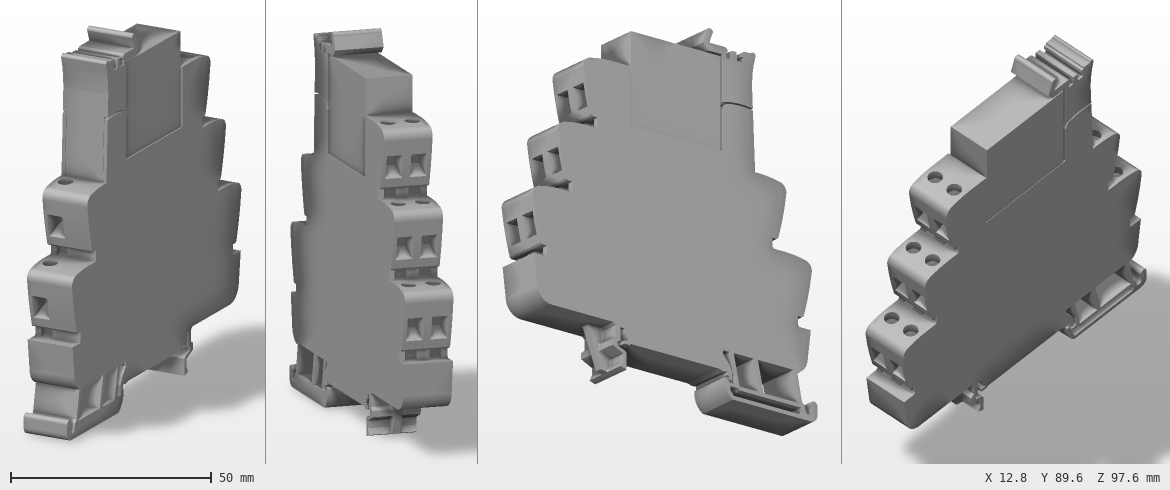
import cadquery as cq
import math


WIDTH = 12.8
X_LEFT = -WIDTH / 2
INSET = 0.4
INSET_WIDTH = WIDTH - INSET
HALF_DEPTH = 43.9

LEVEL_RISE = 19.0
LEVEL_SETBACK = 8.0
NOTCH_BOTTOM = 24.4
NOTCH_HEIGHT = 2.8
NOTCH_WALL = 39.5
NOSE_EDGE_RISE = 0.4
NOTCH_STEP = 0.3
LEVEL_TOP = NOTCH_BOTTOM + LEVEL_RISE

TERMINAL_X = 3.2
SCREW_DIAMETER = 3.9
SCREW_Y = 37.7
SCREW_DEPTH = 2.4
ENTRY_WIDTH = 4.4
ENTRY_BOTTOM = 29.9
ENTRY_HEIGHT = 6.1
ENTRY_RAMP = 2.1
ENTRY_BACK = 36.1
ENTRY_SILL = 42.3
SLOT_WIDTH = 3.2
SLOT_DEPTH = 2.0

BASE_WALL = 43.6
CORNER_RADIUS = 4.8
CORNER_Y = 37.9
CORNER_Z = 16.6
RAIL_FACE = 7.2
FOOT_TOP = 12.5
FOOT_OUTER_Y = 39.3
FOOT_ROOT_Y = -38.4

BAY_FLOOR = 65.7
BAY_BACK = 13.4
BAY_FRONT = -15.9
RELAY_BACK = 13.0
RELAY_FRONT = -15.2
RELAY_TOP = 91.0
RELAY_RECESS = 0.1

CHEEK_WIDTH = 1.0
SLIT_WIDTH = 0.1
SLIT_TOP = 79.7
SLIT_BACK = -24.7
JOINT_GAP = 0.5

RIB_WIDTH = 2.0
RIB_FILLET = 0.5
FOOT_LEAN = 1.9
FOOT_WINDOW_BOTTOM = 4.0
GROOVE_DEPTH = 4.9


def yz_plane(x_start):
    return cq.Workplane("YZ", origin=(x_start, 0, 0))


def plate(points, x_start=X_LEFT, width=WIDTH):
    """Straight-sided (Y, Z) outline extruded along +X."""
    return yz_plane(x_start).polyline(points).close().extrude(width)


def block(y_range, z_range, x_start=X_LEFT, width=WIDTH):
    (y0, y1), (z0, z1) = y_range, z_range
    return plate([(y0, z0), (y1, z0), (y1, z1), (y0, z1)], x_start, width)


def on_side(solid, side):
    return solid if side > 0 else solid.mirror("XZ")


def terminal_level(level):
    """One level on the +Y side: a notch at the bottom and a rounded nose above it."""
    nose = (
        yz_plane(X_LEFT)
        .moveTo(-LEVEL_SETBACK, NOTCH_BOTTOM + NOTCH_HEIGHT)
        .lineTo(40.9, NOTCH_BOTTOM + NOTCH_HEIGHT)
        .lineTo(41.4, NOTCH_BOTTOM + NOTCH_HEIGHT + NOSE_EDGE_RISE)
        .threePointArc((42.8, 33.6), (HALF_DEPTH, 40.1))
        .threePointArc((43.3, 41.9), (42.1, 42.7))
        .threePointArc((38.7, 43.2), (35.4, LEVEL_TOP))
        .lineTo(-LEVEL_SETBACK, LEVEL_TOP)
        .close()
        .extrude(WIDTH)
    )
    column = block((-LEVEL_SETBACK, NOTCH_WALL), (NOTCH_BOTTOM, NOTCH_BOTTOM + NOTCH_HEIGHT))
    step = block((0, NOTCH_WALL + NOTCH_STEP), (NOTCH_BOTTOM, NOTCH_BOTTOM + NOTCH_STEP))
    return nose.union(column).union(step).translate((0, -level * LEVEL_SETBACK, level * LEVEL_RISE))


def terminal_cut(level, x):
    """Screw hole, wire entry and release slot of one terminal on the +Y side."""
    screw = (
        cq.Workplane("XY", origin=(x, SCREW_Y, LEVEL_TOP - SCREW_DEPTH))
        .circle(SCREW_DIAMETER / 2)
        .extrude(2 * SCREW_DEPTH)
    )
    entry = plate(
        [
            (HALF_DEPTH, ENTRY_BOTTOM),
            (ENTRY_SILL, ENTRY_BOTTOM),
            (ENTRY_BACK, ENTRY_BOTTOM + ENTRY_RAMP),
            (ENTRY_BACK, ENTRY_BOTTOM + ENTRY_HEIGHT),
            (HALF_DEPTH, ENTRY_BOTTOM + ENTRY_HEIGHT),
        ],
        x - ENTRY_WIDTH / 2,
        ENTRY_WIDTH,
    )
    slot = block(
        (NOTCH_WALL - SLOT_DEPTH, NOTCH_WALL + NOTCH_STEP),
        (NOTCH_BOTTOM, NOTCH_BOTTOM + NOTCH_HEIGHT),
        x - SLOT_WIDTH / 2,
        SLOT_WIDTH,
    )
    cut = screw.union(entry).union(slot)
    return cut.translate((0, -level * LEVEL_SETBACK, level * LEVEL_RISE))


def corner_point(angle):
    """Point on the lower corner arc of the +Y side; 0 degrees points outwards."""
    return (
        CORNER_Y + CORNER_RADIUS * math.cos(math.radians(angle)),
        CORNER_Z + CORNER_RADIUS * math.sin(math.radians(angle)),
    )


def mirrored(point):
    return (-point[0], point[1])


HOOK_BACK = [
    (18.5, 11.8), (17.9, 11.1), (17.9, 8.1), (18.9, 7.3), (18.8, 5.7), (15.4, 4.1), (15.4, 2.1),
    (16.3, 0.6),
]
HOOK_FRONT = [
    (14.4, 0), (14.4, 4.5), (15.0, 5.1), (17.2, 5.8), (17.3, 6.9), (16.4, 7.2), (16.4, 10.9),
    (15.0, 10.9), (14.8, 9.7), (13.8, 8.2), (13.8, 7.7), (15.1, 7.7), (15.1, 6.8), (13.3, 6.8),
    (13.0, RAIL_FACE),
]
SPRING_FINGER = [
    (-14.6, RAIL_FACE), (-16.1, 6.8), (-17.4, 7.0), (-17.4, 6.1), (-18.0, 6.0), (-18.3, 5.1),
    (-18.8, 5.0), (-18.8, 7.3), (-17.9, 9.3), (-16.5, 10.7), (-16.0, 11.4), (-16.0, FOOT_TOP),
]


def base():
    foot_corner_angle = -math.degrees(math.acos((FOOT_OUTER_Y - CORNER_Y) / CORNER_RADIUS))
    outline = (
        yz_plane(X_LEFT)
        .moveTo(BASE_WALL, NOTCH_BOTTOM)
        .lineTo(*corner_point(0))
        .threePointArc(corner_point(-45), corner_point(-90))
    )
    for point in HOOK_BACK + HOOK_FRONT + SPRING_FINGER:
        outline = outline.lineTo(*point)
    return (
        outline.lineTo(FOOT_ROOT_Y, FOOT_TOP)
        .lineTo(*mirrored(corner_point(foot_corner_angle)))
        .threePointArc(mirrored(corner_point(foot_corner_angle / 2)), mirrored(corner_point(0)))
        .lineTo(-BASE_WALL, NOTCH_BOTTOM)
        .close()
        .extrude(WIDTH)
    )


RIB_HEEL = (22.6, CORNER_Z - CORNER_RADIUS)
RIB_TOE = (18.3, 0.9)


def add_hook_rib(housing):
    """Central rib that stiffens the back of the rail hook, filleted where it joins the hook."""
    outline = [RIB_HEEL] + HOOK_BACK + [RIB_TOE]
    ribbed = housing.union(plate(outline, -RIB_WIDTH / 2, RIB_WIDTH))
    root = [RIB_HEEL] + HOOK_BACK
    root_edges = []
    for x in (-RIB_WIDTH / 2, RIB_WIDTH / 2):
        for (y0, z0), (y1, z1) in zip(root, root[1:]):
            middle = (x, (y0 + y1) / 2, (z0 + z1) / 2)
            root_edges += ribbed.edges(cq.NearestToPointSelector(middle)).vals()
    return ribbed.newObject(root_edges).fillet(RIB_FILLET)


def foot():
    body = (
        yz_plane(X_LEFT)
        .moveTo(-18.1, FOOT_TOP)
        .lineTo(-19.8, 6.7)
        .lineTo(-19.8, 4.8)
        .lineTo(-19.3, 4.3)
        .lineTo(-18.2, 4.3)
        .lineTo(-17.4, 5.2)
        .lineTo(-17.2, 5.7)
        .lineTo(-16.5, 5.5)
        .threePointArc((-17.1, 2.2), (-19.1, 0))
        .lineTo(-43.7, 0)
        .threePointArc((-45.1, 0.6), (-45.7, 2.0))
        .lineTo(-45.7, 4.5)
        .threePointArc((-44.6, 5.6), (-43.5, 4.5))
        .lineTo(-43.9, 3.6)
        .lineTo(-43.9, 2.5)
        .threePointArc((-43.0, 1.7), (-42.2, 1.9))
        .lineTo(-41.6, 3.8)
        .lineTo(-40.8, 4.6)
        .lineTo(-FOOT_OUTER_Y, 12.1)
        .lineTo(FOOT_ROOT_Y, FOOT_TOP)
        .close()
        .extrude(INSET_WIDTH)
    )
    for y_start, y_end in ((-19.3, -25.7), (-26.9, -38.1)):
        window = [
            (y_start, FOOT_TOP),
            (y_end, FOOT_TOP),
            (y_end - FOOT_LEAN, FOOT_WINDOW_BOTTOM),
            (y_start - FOOT_LEAN, FOOT_WINDOW_BOTTOM),
        ]
        body = body.cut(plate(window))
    groove = [
        (-18.3, 3.4), (-20.6, 3.4), (-21.5, 2.9), (-40.5, 2.9),
        (-40.9, 2.0), (-40.4, 1.1), (-19.3, 1.1), (-18.3, 2.2),
    ]
    return body.cut(plate(groove, X_LEFT, GROOVE_DEPTH))


def relay():
    return block(
        (RELAY_FRONT, RELAY_BACK),
        (BAY_FLOOR, RELAY_TOP),
        X_LEFT + RELAY_RECESS,
        INSET_WIDTH - RELAY_RECESS,
    )


CHEEK_TOP = 78.6
CHEEK_FRONT_BOTTOM = -26.1
LEVEL_2_TOP = LEVEL_TOP + LEVEL_RISE
JOINT_ARC = ((BAY_FRONT, CHEEK_TOP), (-20.9, 79.3), (-26.4, 78.9))


def lever():
    return (
        yz_plane(X_LEFT)
        .moveTo(BAY_FRONT, LEVEL_2_TOP)
        .lineTo(BAY_FRONT, 91.5)
        .lineTo(-11.2, 91.5)
        .lineTo(-9.6, 93.3)
        .lineTo(-10.8, 96.6)
        .threePointArc((-11.8, 97.6), (-12.8, 96.6))
        .threePointArc((-12.1, 95.1), (-11.7, 93.7))
        .lineTo(-16.6, 93.7)
        .lineTo(-17.4, 93.3)
        .lineTo(-17.5, 92.7)
        .lineTo(-17.1, 92.2)
        .lineTo(-17.1, 90.9)
        .lineTo(-18.6, 90.9)
        .lineTo(-18.7, 93.2)
        .lineTo(-20.2, 93.2)
        .lineTo(-20.4, 90.9)
        .lineTo(-22.35, 90.9)
        .lineTo(-22.35, 92.1)
        .lineTo(-21.8, 92.3)
        .lineTo(-21.9, 93.3)
        .lineTo(-22.5, 93.4)
        .lineTo(-22.6, 93.9)
        .lineTo(-24.8, 93.9)
        .lineTo(-25.1, 94.3)
        .threePointArc((-25.9, 94.2), (-26.3, 93.6))
        .threePointArc((-25.4, 89.6), (-25.1, 85.5))
        .lineTo(CHEEK_FRONT_BOTTOM, LEVEL_2_TOP)
        .close()
        .extrude(WIDTH)
    )


def lever_cuts():
    """Curved joint above both cheeks, the slits along the cheeks and the notch at the joint's back."""
    (y0, z0), (y1, z1), (y2, z2) = JOINT_ARC
    joint = (
        yz_plane(X_LEFT)
        .moveTo(y0, z0 - JOINT_GAP / 2)
        .threePointArc((y1, z1 - JOINT_GAP / 2), (y2, z2 - JOINT_GAP / 2))
        .lineTo(y2, z2 + JOINT_GAP / 2)
        .threePointArc((y1, z1 + JOINT_GAP / 2), (y0, z0 + JOINT_GAP / 2))
        .close()
        .extrude(CHEEK_WIDTH)
    )
    notch = plate([(BAY_FRONT, 78.5), (-16.8, 78.5), (-16.4, 77.7), (BAY_FRONT, 77.0)])
    slit = block(
        (SLIT_BACK, CHEEK_FRONT_BOTTOM),
        (LEVEL_2_TOP, SLIT_TOP),
        X_LEFT + CHEEK_WIDTH,
        SLIT_WIDTH,
    )
    side_cuts = joint.union(slit)
    return side_cuts.union(side_cuts.mirror("YZ")).union(notch)


LEVELS = ((1, 3, (-TERMINAL_X, TERMINAL_X)), (-1, 2, (-TERMINAL_X,)))

result = base()
for side, level_count, _ in LEVELS:
    for level in range(level_count):
        result = result.union(on_side(terminal_level(level), side))

bay = block((BAY_FRONT, BAY_BACK), (BAY_FLOOR, RELAY_TOP))
result = result.union(lever()).cut(lever_cuts()).cut(bay)

for side, level_count, terminals in LEVELS:
    for level in range(level_count):
        for x in terminals:
            result = result.cut(on_side(terminal_cut(level, x), side))

result = result.union(relay()).union(foot())
result = add_hook_rib(result).clean()